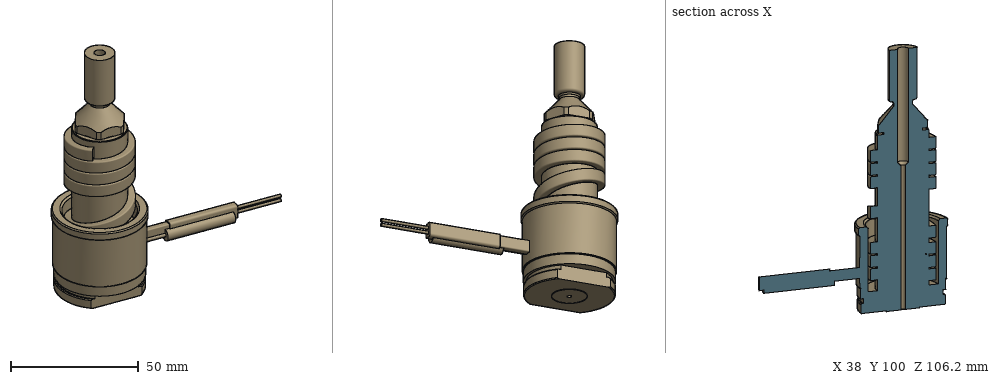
import cadquery as cq
import math

total_height = 106.2

stem_radius = 6.0
stem_bottom = 85.0
stem_edge_radius = 1.0
neck_radius = 4.0
neck_flare = 0.4
neck_top = 84.3
neck_bottom = 83.4
hex_across_flats = 19.0
hex_corner_radius = 10.5
hex_bottom = 72.9
hex_shoulder = 76.1
relief_radius = 8.3

bore_radius = 2.2
bore_bottom = 60.0
through_hole_radius = 0.9

tube_radius = 11.0
tube_top = 72.3
tube_edge_chamfer = 0.3

flange_radius = 19.0
flange_top = 35.5
flange_bottom = 31.9
flange_chamfer = 0.5
cup_radius = 18.5
cup_bottom = 10.8
cup_groove_radius = 18.0
cup_groove_height = 0.3
collar_radius = 18.1
collar_bottom = 6.3
cavity_radius = 14.8
cavity_mouth_chamfer = 0.8

base_neck_radius = 17.0
base_radius = 18.0
base_top = 4.5
base_bottom = 0.3
base_chamfer = 0.4
base_flat_offset = 14.0
pad_radius = 7.0

spring_outer_radius = 14.0
spring_inner_radius = tube_radius - 0.1
spring_height = 5.0
spring_edge_radius = 0.5
spring_top = 69.8
spring_start_angle = -40.0
tight_end_angle = -1134.0
open_start_angle = -1273.0
open_end_angle = -1480.0
tight_pitch = 5.35
open_pitch = 22.0
path_step = 30.0

flat_cable_x = -1.45
flat_cable_z = 17.2
flat_cable_width = 3.0
flat_cable_height = 5.0
flat_cable_edge_radius = 0.5
sleeve_wall = 0.5
sleeve_edge_radius = 1.0
sleeve_start = 31.0
sleeve_length = 30.0
wire_radius = 0.65
wire_spacing = 2.0
wire_end = 81.0
round_cable_x = 0.05
round_cable_z = 15.5
round_cable_radius = 0.8
round_sleeve_radius = 2.5
round_sleeve_start = 29.0
cable_root = (cavity_radius + cup_radius) / 2


def cylinder(radius, bottom, top):
    return cq.Workplane("XY").workplane(offset=bottom).circle(radius).extrude(top - bottom)


def along_y(x, z, start):
    """Workplane facing +Y, with local X along -X and local Y along Z."""
    return cq.Workplane(cq.Plane(origin=(x, start, z), xDir=(-1, 0, 0), normal=(0, 1, 0)))


def stem():
    upper = cylinder(stem_radius, stem_bottom, total_height).faces("<Z").edges().fillet(stem_edge_radius)
    neck_foot = neck_radius + neck_flare
    neck = (
        cq.Workplane("XZ")
        .moveTo(0, neck_bottom)
        .lineTo(neck_radius, neck_bottom)
        .lineTo(neck_radius, neck_top)
        .lineTo(neck_foot, stem_bottom)
        .lineTo(0, stem_bottom)
        .close()
        .revolve(360, (0, 0, 0), (0, 1, 0))
    )
    return upper.union(neck)


def hexagon():
    across_corners = hex_across_flats / math.cos(math.pi / 6)
    prism = (
        cq.Workplane("XY", origin=(0, 0, hex_bottom))
        .transformed(rotate=(0, 0, 90))
        .polygon(6, across_corners)
        .extrude(neck_bottom - hex_bottom)
    )
    cone_envelope = (
        cq.Workplane("XZ")
        .moveTo(0, hex_bottom)
        .lineTo(hex_corner_radius, hex_bottom)
        .lineTo(hex_corner_radius, hex_shoulder)
        .lineTo(neck_radius, neck_bottom)
        .lineTo(0, neck_bottom)
        .close()
        .revolve(360, (0, 0, 0), (0, 1, 0))
    )
    relief = cylinder(relief_radius, tube_top, hex_bottom)
    return prism.intersect(cone_envelope).union(relief)


def tube():
    return cylinder(tube_radius, cavity_floor, tube_top).faces(">Z").edges().chamfer(tube_edge_chamfer)


def cup():
    flange = cylinder(flange_radius, flange_bottom, flange_top).edges().chamfer(flange_chamfer)
    wall = cylinder(cup_radius, cup_bottom, flange_bottom)
    groove_bottom = cup_bottom - cup_groove_height
    groove = cylinder(cup_groove_radius, groove_bottom, cup_bottom)
    collar = cylinder(collar_radius, collar_bottom, groove_bottom)
    cavity = cylinder(cavity_radius, cavity_floor, flange_top)
    body = flange.union(wall).union(groove).union(collar).cut(cavity)
    mouth = cq.selectors.RadiusNthSelector(0)
    return body.faces(">Z").edges(mouth).chamfer(cavity_mouth_chamfer)


def base():
    neck = cylinder(base_neck_radius, base_top, collar_bottom)
    disc = cylinder(base_radius, base_bottom, base_top).edges().chamfer(base_chamfer)
    flats = cq.Workplane("XY").box(
        2 * base_flat_offset, 2 * base_radius, collar_bottom, centered=(True, True, False)
    )
    pad = cylinder(pad_radius, 0, base_bottom)
    return neck.union(disc).intersect(flats).union(pad)


def upper_half_drop(angle):
    """Fall from the upper end; the pitch grows evenly from the tight to the open stretch."""
    tight_turns = (spring_start_angle - max(angle, tight_end_angle)) / 360
    transition_length = (tight_end_angle - open_start_angle) / 360
    transition_turns = max(0, tight_end_angle - max(angle, open_start_angle)) / 360
    open_turns = max(0, open_start_angle - angle) / 360
    pitch_growth = (open_pitch - tight_pitch) / transition_length
    transition_drop = tight_pitch * transition_turns + pitch_growth * transition_turns**2 / 2
    return tight_pitch * tight_turns + transition_drop + open_pitch * open_turns


spring_middle_angle = (open_start_angle + open_end_angle) / 2
spring_end_angle = 2 * spring_middle_angle - spring_start_angle
spring_total_drop = 2 * upper_half_drop(spring_middle_angle)
cavity_floor = spring_top - spring_height - spring_total_drop


def spring_drop(angle):
    """Fall of the coil; its lower half mirrors its upper half."""
    if angle >= spring_middle_angle:
        return upper_half_drop(angle)
    return spring_total_drop - upper_half_drop(2 * spring_middle_angle - angle)


def spring():
    middle_radius = (spring_inner_radius + spring_outer_radius) / 2
    first_middle_height = spring_top - spring_height / 2
    steps = math.ceil((spring_start_angle - spring_end_angle) / path_step)
    step = (spring_end_angle - spring_start_angle) / steps

    def coil_point(radius, angle):
        turn = math.radians(angle)
        height = first_middle_height - spring_drop(angle)
        return cq.Vector(radius * math.cos(turn), radius * math.sin(turn), height)

    def coil_path(radius):
        points = [coil_point(radius, spring_start_angle + i * step) for i in range(steps + 1)]
        return cq.Workplane(obj=cq.Wire.assembleEdges([cq.Edge.makeSpline(points)]))

    start_turn = math.radians(spring_start_angle)
    outward = (math.cos(start_turn), math.sin(start_turn), 0)
    clockwise = (math.sin(start_turn), -math.cos(start_turn), 0)
    start_point = coil_point(middle_radius, spring_start_angle)
    section_plane = cq.Plane(origin=start_point.toTuple(), xDir=outward, normal=clockwise)
    width = spring_outer_radius - spring_inner_radius
    section = cq.Sketch().rect(width, spring_height).vertices().fillet(spring_edge_radius)
    outer_path = coil_path(spring_outer_radius)
    section_at_start = cq.Workplane(section_plane).placeSketch(section)
    return section_at_start.sweep(coil_path(middle_radius), auxSpine=outer_path)


def flat_cable():
    def rounded_bar(growth, edge_radius, start, end):
        bar = along_y(flat_cable_x, flat_cable_z, start)
        bar = bar.rect(flat_cable_width + growth, flat_cable_height + growth).extrude(end - start)
        return bar.edges("|Y").fillet(edge_radius)

    sleeve_end = sleeve_start + sleeve_length
    cable = rounded_bar(0, flat_cable_edge_radius, cable_root, sleeve_end)
    sleeve = rounded_bar(2 * sleeve_wall, sleeve_edge_radius, sleeve_start, sleeve_end)
    wires = (
        along_y(flat_cable_x, flat_cable_z, sleeve_end)
        .pushPoints([(0, -wire_spacing / 2), (0, wire_spacing / 2)])
        .circle(wire_radius)
        .extrude(wire_end - sleeve_end)
    )
    return cable.union(sleeve).union(wires)


def round_cable():
    sleeve_end = round_sleeve_start + sleeve_length
    cable = along_y(round_cable_x, round_cable_z, cable_root).circle(round_cable_radius)
    sleeve = along_y(round_cable_x, round_cable_z, round_sleeve_start).circle(round_sleeve_radius)
    return cable.extrude(sleeve_end - cable_root).union(sleeve.extrude(sleeve_length))


def axial_bore():
    tip_height = bore_radius
    bore = cylinder(bore_radius, bore_bottom, total_height)
    tip = cq.Workplane(
        obj=cq.Solid.makeCone(0, bore_radius, tip_height, pnt=cq.Vector(0, 0, bore_bottom - tip_height))
    )
    through_hole = cylinder(through_hole_radius, 0, bore_bottom)
    return bore.union(tip).union(through_hole)


body = stem().union(hexagon()).union(tube()).union(cup()).union(base())
body = body.union(flat_cable()).union(round_cable())
result = body.union(spring()).cut(axial_bore())